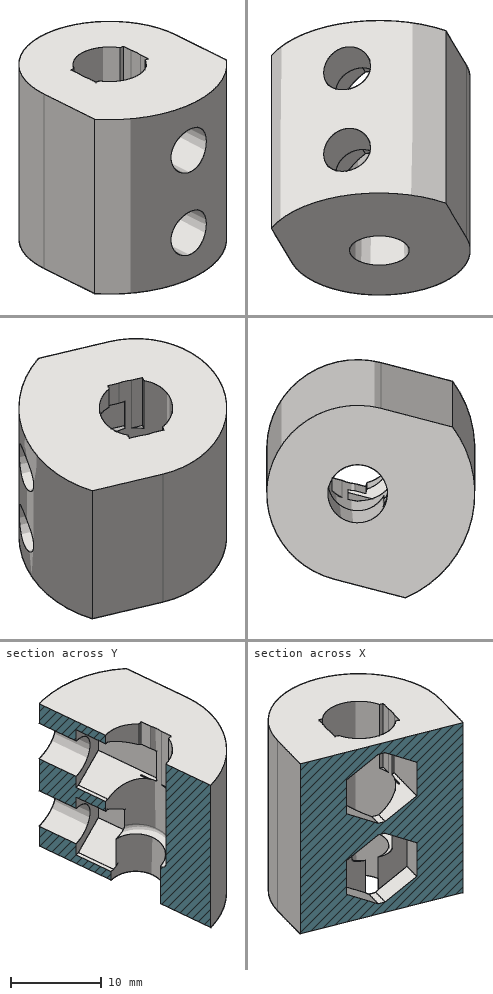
import cadquery as cq
import math

HEIGHT = 22.0
WIDTH = 20.2
LENGTH = 23.1
BACK_RADIUS = WIDTH / 2
FRONT_RADIUS = LENGTH - BACK_RADIUS

BORE_RADIUS = 4.07
THROUGH_RADIUS = 6.6 / 2
BORE_DEPTH = 16.2
FLOOR_ROUNDING = BORE_RADIUS - THROUGH_RADIUS

SCREW_DIAMETER = 5.4
SCREW_INSET = 5.8
NUT_HALF_WIDTH = 4.35
NUT_TIP_WIDTH = 0.85
NUT_TIP_HEIGHT = 4.41
NUT_POCKET_START = 3.2
NUT_POCKET_END = 8.02

SLOT_LENGTH = 4.02
SLOT_WIDTH = 8.0
SLOT_FLOOR_BELOW_SCREW = 2.43


def make_body():
    front_x = math.sqrt(FRONT_RADIUS**2 - BACK_RADIUS**2)
    return (
        cq.Workplane("XY")
        .moveTo(0, BACK_RADIUS)
        .threePointArc((-BACK_RADIUS, 0), (0, -BACK_RADIUS))
        .lineTo(front_x, -BACK_RADIUS)
        .threePointArc((FRONT_RADIUS, 0), (front_x, BACK_RADIUS))
        .close()
        .extrude(HEIGHT)
    )


def make_bore():
    upper = (
        cq.Workplane("XY", origin=(0, 0, HEIGHT - BORE_DEPTH))
        .circle(BORE_RADIUS)
        .extrude(BORE_DEPTH)
        .faces("<Z")
        .edges()
        .fillet(FLOOR_ROUNDING)
    )
    through = cq.Workplane("XY").circle(THROUGH_RADIUS).extrude(HEIGHT)
    return upper.union(through)


def along_x(start_x, z):
    """Plane facing +X, with its local axes along Y and Z."""
    return cq.Workplane("YZ", origin=(start_x, 0, z))


def make_nut_pocket(start_x, z):
    """Hexagonal pocket with upright sides and blunted upper and lower tips."""
    slope = math.tan(math.radians(30))
    tip_y = NUT_TIP_WIDTH / 2
    tip_z = NUT_TIP_HEIGHT
    side_z = tip_z - (NUT_HALF_WIDTH - tip_y) * slope
    outline = [
        (NUT_HALF_WIDTH, -side_z),
        (NUT_HALF_WIDTH, side_z),
        (tip_y, tip_z),
        (-tip_y, tip_z),
        (-NUT_HALF_WIDTH, side_z),
        (-NUT_HALF_WIDTH, -side_z),
        (-tip_y, -tip_z),
        (tip_y, -tip_z),
    ]
    return along_x(start_x, z).polyline(outline).close().extrude(NUT_POCKET_END - start_x)


def make_screw_hole(z):
    hole_length = FRONT_RADIUS - NUT_POCKET_START
    return along_x(NUT_POCKET_START, z).circle(SCREW_DIAMETER / 2).extrude(hole_length)


def make_nut_slot(bottom_z):
    return (
        cq.Workplane("XY", origin=(0, 0, bottom_z))
        .rect(SLOT_LENGTH, SLOT_WIDTH)
        .extrude(HEIGHT - bottom_z)
    )


lower_screw_z = SCREW_INSET
upper_screw_z = HEIGHT - SCREW_INSET

result = make_body().cut(make_bore()).cut(make_nut_slot(upper_screw_z - SLOT_FLOOR_BELOW_SCREW))

for screw_z, pocket_start in ((upper_screw_z, 0), (lower_screw_z, NUT_POCKET_START)):
    result = result.cut(make_nut_pocket(pocket_start, screw_z)).cut(make_screw_hole(screw_z))